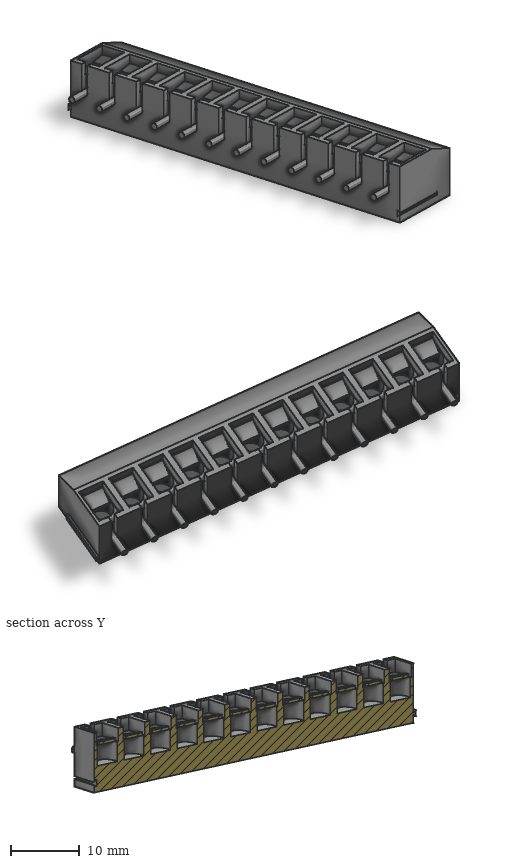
import cadquery as cq

POLES = 12
OVERALL_LENGTH = 60.5
RAIL_DEPTH = 0.5
HOUSING_LENGTH = OVERALL_LENGTH - RAIL_DEPTH
HOUSING_DEPTH = 12.0
HOUSING_HEIGHT = 9.0
PITCH = HOUSING_LENGTH / POLES
SLOPE_DEPTH = 4.35
SLOPE_DROP = 1.5

POCKET_WIDTH = 4.0
POCKET_FRONT = 0.9
POCKET_BACK = 6.9
POCKET_FLOOR = HOUSING_HEIGHT - 2.0

PLATE_THICKNESS = 0.55
PLATE_FRONT = 4.0
PLATE_FRONT_WIDTH = 2.95

HOLE_DIAMETER = 3.75
HOLE_DEPTH = 3.0

PIN_DIAMETER = 1.0
PIN_LENGTH = 3.0
PIN_Z = HOUSING_HEIGHT / 2
SLOT_DEPTH = 1.1

RAIL_LENGTH = 8.95
RAIL_Z = 1.4
RAIL_ROOT_WIDTH = 0.35
RAIL_TIP_WIDTH = 0.95


def housing():
    """Block whose top slopes down towards the back."""
    return (
        cq.Workplane("YZ")
        .polyline([
            (0, 0),
            (HOUSING_DEPTH, 0),
            (HOUSING_DEPTH, HOUSING_HEIGHT - SLOPE_DROP),
            (HOUSING_DEPTH - SLOPE_DEPTH, HOUSING_HEIGHT),
            (0, HOUSING_HEIGHT),
        ])
        .close()
        .extrude(HOUSING_LENGTH)
    )


def dovetail(root_x, tip_x):
    """Dovetail bar running back from the front face, widening from root to tip."""
    return (
        cq.Workplane("XZ")
        .polyline([
            (root_x, RAIL_Z - RAIL_ROOT_WIDTH / 2),
            (tip_x, RAIL_Z - RAIL_TIP_WIDTH / 2),
            (tip_x, RAIL_Z + RAIL_TIP_WIDTH / 2),
            (root_x, RAIL_Z + RAIL_ROOT_WIDTH / 2),
        ])
        .close()
        .extrude(-RAIL_LENGTH)
    )


def pocket(x):
    """Pocket volume, open at the top, centred on x."""
    return cq.Workplane("XY").box(
        POCKET_WIDTH,
        POCKET_BACK - POCKET_FRONT,
        HOUSING_HEIGHT - POCKET_FLOOR,
        centered=(True, False, False),
    ).translate((x, POCKET_FRONT, POCKET_FLOOR))


def screw_hole(x):
    """Blind round hole going down from the pocket floor."""
    return (
        cq.Workplane("XY", origin=(x, PLATE_FRONT, POCKET_FLOOR))
        .circle(HOLE_DIAMETER / 2)
        .extrude(-HOLE_DEPTH)
    )


def plate(x):
    """Plate as wide as the pocket at the back and narrower at its front edge."""
    return (
        cq.Workplane("XY", origin=(x, 0, POCKET_FLOOR))
        .polyline([
            (-POCKET_WIDTH / 2, POCKET_BACK),
            (-PLATE_FRONT_WIDTH / 2, PLATE_FRONT),
            (PLATE_FRONT_WIDTH / 2, PLATE_FRONT),
            (POCKET_WIDTH / 2, POCKET_BACK),
        ])
        .close()
        .extrude(PLATE_THICKNESS)
    )


def pin_slot(x):
    """Slot in the front face, from the top down to the pin axis."""
    return cq.Workplane("XY").box(
        PIN_DIAMETER,
        SLOT_DEPTH,
        HOUSING_HEIGHT - PIN_Z,
        centered=(True, False, False),
    ).translate((x, 0, PIN_Z))


def pin(x):
    """Round pin from the back of the slot out past the front face."""
    return (
        cq.Workplane("XZ", origin=(x, SLOT_DEPTH, PIN_Z))
        .circle(PIN_DIAMETER / 2)
        .extrude(SLOT_DEPTH + PIN_LENGTH)
    )


result = housing().union(dovetail(0, -RAIL_DEPTH))
result = result.cut(dovetail(HOUSING_LENGTH, HOUSING_LENGTH - RAIL_DEPTH))

for pole in range(POLES):
    pole_x = (pole + 0.5) * PITCH
    result = result.cut(pocket(pole_x)).cut(screw_hole(pole_x)).cut(pin_slot(pole_x))
    result = result.union(plate(pole_x)).union(pin(pole_x))